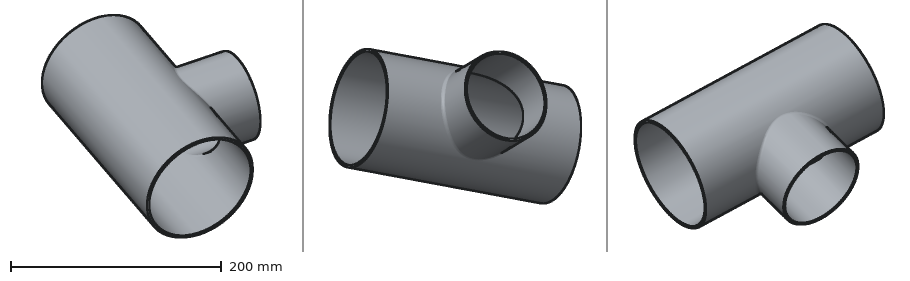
import cadquery as cq

run_length = 210.0
run_outer_diameter = 114.2
run_bore_diameter = 109.2

branch_reach = 98.0
branch_outer_diameter = 88.8
branch_bore_diameter = 84.2

blend_radius = 3.0


def is_junction_edge(edge):
    """The junction is a free curve, while all pipe ends are circles and all seams are lines."""
    return edge.geomType() not in ("LINE", "CIRCLE")


def solid_tee(run_diameter, branch_diameter):
    """Solid cylinders of the run and the branch, joined with a rounded blend."""
    run = cq.Workplane("YZ").circle(run_diameter / 2).extrude(run_length / 2, both=True)
    branch = cq.Workplane("XZ").circle(branch_diameter / 2).extrude(-branch_reach)
    tee = run.union(branch)
    junction_edges = [edge for edge in tee.edges().vals() if is_junction_edge(edge)]
    return tee.newObject(junction_edges).fillet(blend_radius)


outer_body = solid_tee(run_outer_diameter, branch_outer_diameter)
bores = solid_tee(run_bore_diameter, branch_bore_diameter)

result = outer_body.cut(bores)